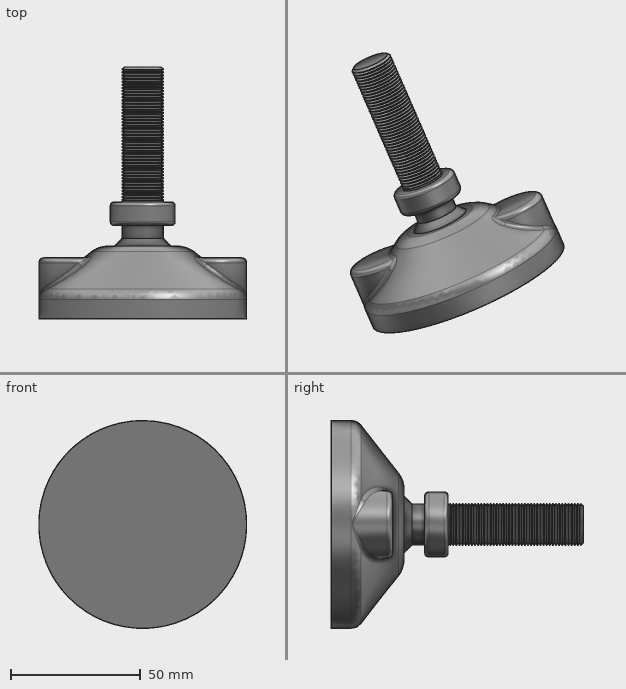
import cadquery as cq
import math

FOOT_DIAMETER = 80.0
FOOT_RADIUS = FOOT_DIAMETER / 2
FOOT_HEIGHT = 28.0
RIM_CORNER_HEIGHT = 10.0
CONE_TOP_RADIUS = 17.0
RIM_FILLET = 5.0
TOP_FILLET = 10.0

LUG_RADIUS = 13.0
LUG_INSET = 0.05
LUG_OFFSET = FOOT_RADIUS - LUG_INSET - LUG_RADIUS
LUG_BASE = 4.85
LUG_TOP = 23.6
LUG_FILLET = 2.0
TOUCHING = 0.001

FLARE_RADIUS = 10.9
FLARE_TOP = 31.0
NECK_RADIUS = 8.0
COLLAR_RADIUS = 12.5
COLLAR_BOTTOM = 36.0
COLLAR_TOP = 45.0
COLLAR_FILLET = 1.6
STUD_TOP = 97.0
STUD_CHAMFER = 1.0

CREST_RADIUS = 8.05
THREAD_START = 45.7
THREAD_END = STUD_TOP - STUD_CHAMFER
TEETH = 42
PITCH = (THREAD_END - THREAD_START) / TEETH
CREST_FLAT = PITCH / 8
HALF_FLANK_ANGLE = math.radians(30)
ROOT_RADIUS = CREST_RADIUS - (PITCH - CREST_FLAT) / 2 / math.tan(HALF_FLANK_ANGLE)
RUNOUT_RADIUS = CREST_RADIUS - (THREAD_START - COLLAR_TOP)


def turned(profile):
    """Solid of revolution about Y from (radius, height) points."""
    points = [(height, radius) for radius, height in profile]
    return cq.Workplane("YZ").polyline(points).close().revolve(360, (0, 0, 0), (1, 0, 0))


def widest_edges(body):
    """The circular edges of the largest radius."""
    return body.edges(cq.selectors.RadiusNthSelector(-1))


def make_pad():
    """Conical pad with a rounded rim and a rounded top."""
    pad = turned([
        (0, 0),
        (FOOT_RADIUS, 0),
        (FOOT_RADIUS, RIM_CORNER_HEIGHT),
        (CONE_TOP_RADIUS, FOOT_HEIGHT),
        (0, FOOT_HEIGHT),
    ])
    pad = widest_edges(pad).edges(">Y").fillet(RIM_FILLET)
    return pad.edges(">Y").fillet(TOP_FILLET)


def make_lug(side):
    """Upright round lug at -X (side -1) or +X (side 1)."""
    return (
        cq.Workplane("XZ", origin=(side * LUG_OFFSET, LUG_BASE, 0))
        .circle(LUG_RADIUS)
        .extrude(LUG_BASE - LUG_TOP)
        .edges(">Y")
        .fillet(LUG_FILLET)
    )


def is_on_surface(point, body):
    skin = body.val().Shells()[0]
    return skin.distance(cq.Vertex.makeVertex(*point.toTuple())) < TOUCHING


def make_foot():
    """Pad with a lug on each side, each lug blended into the pad all round."""
    pad = make_pad()
    foot = pad
    for side in (-1, 1):
        lug = make_lug(side)
        joint_edges = foot.union(lug).edges().filter(
            lambda edge: all(is_on_surface(edge.positionAt(0.5), body) for body in (pad, lug))
        )
        foot = joint_edges.fillet(LUG_FILLET)
    return foot


def thread_profile():
    """Points of the toothed outline, from the thread start up to below its end."""
    points = []
    for tooth in range(TEETH):
        tooth_bottom = THREAD_START + tooth * PITCH
        points.append((CREST_RADIUS, tooth_bottom))
        points.append((CREST_RADIUS, tooth_bottom + CREST_FLAT))
        points.append((ROOT_RADIUS, tooth_bottom + (PITCH + CREST_FLAT) / 2))
    return points


def make_stud():
    """Flare, neck, rounded collar and threaded shank in one turned body."""
    stud = turned([
        (0, FOOT_HEIGHT),
        (FLARE_RADIUS, FOOT_HEIGHT),
        (NECK_RADIUS, FLARE_TOP),
        (NECK_RADIUS, COLLAR_BOTTOM),
        (COLLAR_RADIUS, COLLAR_BOTTOM),
        (COLLAR_RADIUS, COLLAR_TOP),
        (CREST_RADIUS, COLLAR_TOP),
        (RUNOUT_RADIUS, THREAD_START),
        *thread_profile(),
        (CREST_RADIUS, THREAD_END),
        (CREST_RADIUS - STUD_CHAMFER, STUD_TOP),
        (0, STUD_TOP),
    ])
    return widest_edges(stud).fillet(COLLAR_FILLET)


foot = make_foot()
stud = make_stud()
result = cq.Compound.makeCompound([foot.val(), stud.val()])